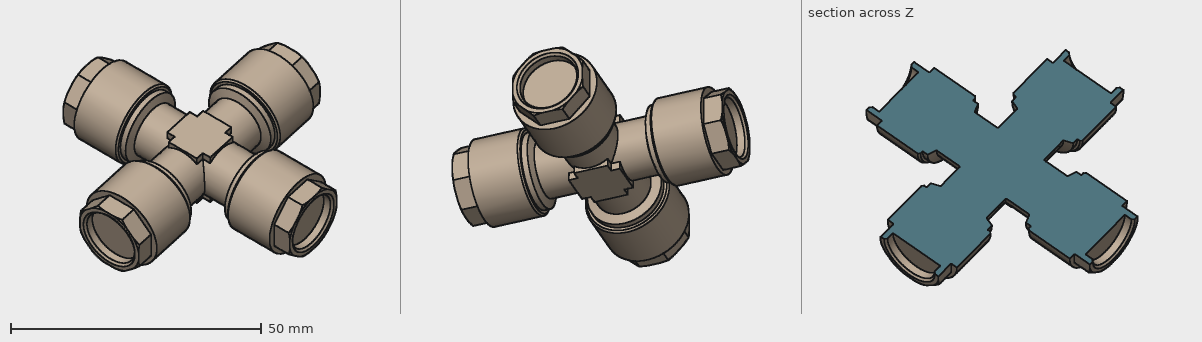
import cadquery as cq
import math

arm_count = 4
arm_length = 29.0

pipe_radius = 6.0

collar_start = 12.0
collar_radius = 7.95
collar_cone_length = 0.7

nut_start = 14.0
nut_end = 25.0
nut_radius = 9.0
nut_chamfer = 0.4

octagon_sides = 8
octagon_flats = 15.0
octagon_corners = octagon_flats / math.cos(math.pi / octagon_sides)
corner_radius = 7.6
corner_chamfer_angle = 30.0

bore_radius = 6.1
bore_depth = 2.2
bore_mouth_radius = 6.6

pad_length = 11.0
pad_width = 7.2
pad_height = 13.0


def make_turned_arm():
    """Pipe, collar and round nut body, revolved about the X axis."""
    profile = [
        (0, 0),
        (0, pipe_radius),
        (collar_start, pipe_radius),
        (collar_start + collar_cone_length, collar_radius),
        (nut_start, collar_radius),
        (nut_start, nut_radius - nut_chamfer),
        (nut_start + nut_chamfer, nut_radius),
        (nut_end, nut_radius),
        (nut_end, 0),
    ]
    return cq.Workplane("XY").polyline(profile).close().revolve(360, (0, 0, 0), (1, 0, 0))


def make_octagon_end():
    """Octagon with flats square to Y and Z, its outer corners turned to a cone."""
    length = arm_length - nut_end
    octagon = (
        cq.Workplane("YZ", origin=(nut_end, 0, 0))
        .transformed(rotate=(0, 0, 180 / octagon_sides))
        .polygon(octagon_sides, octagon_corners)
        .extrude(length)
    )
    base_radius = corner_radius + length / math.tan(math.radians(corner_chamfer_angle))
    cone = cq.Workplane(
        cq.Solid.makeCone(
            base_radius, corner_radius, length, cq.Vector(nut_end, 0, 0), cq.Vector(1, 0, 0)
        )
    )
    return octagon.intersect(cone)


def make_bore():
    """Blind bore with a flared mouth, open at the end of the arm."""
    flare = bore_mouth_radius - bore_radius
    profile = [
        (arm_length - bore_depth, 0),
        (arm_length - bore_depth, bore_radius),
        (arm_length - flare, bore_radius),
        (arm_length, bore_mouth_radius),
        (arm_length, 0),
    ]
    return cq.Workplane("XY").polyline(profile).close().revolve(360, (0, 0, 0), (1, 0, 0))


def make_arm():
    """One complete arm along +X, from the centre to its open end."""
    return make_turned_arm().union(make_octagon_end()).cut(make_bore())


def make_pads():
    """Plus-shaped block through the centre whose ends stand out as flat pads."""
    along_x = cq.Workplane("XY").box(pad_length, pad_width, pad_height)
    along_y = cq.Workplane("XY").box(pad_width, pad_length, pad_height)
    return along_x.union(along_y)


arm = make_arm()
result = make_pads()
for index in range(arm_count):
    result = result.union(arm.rotate((0, 0, 0), (0, 0, 1), index * 360 / arm_count))